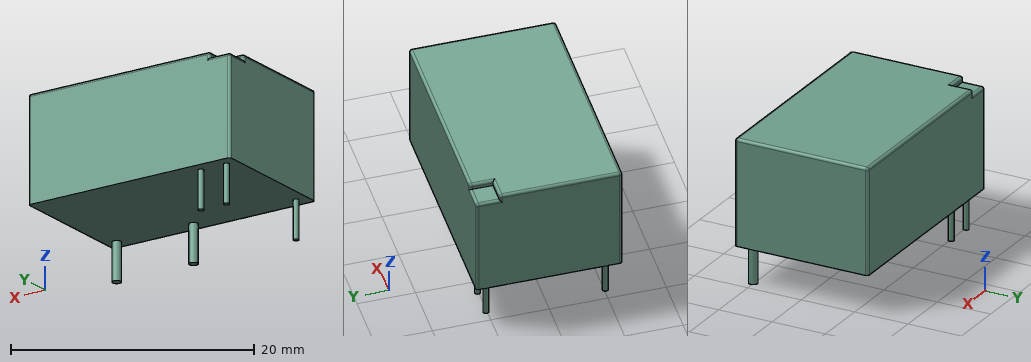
import cadquery as cq

length = 20.0
width = 12.5
total_height = 13.2
pin_length = 3.5
body_height = total_height - pin_length
edge_radius = 0.25

step_size = 2.0
step_depth = 0.5

grid_pitch = 2.55
row_offset = 5.1
first_pin_x = -8.88
thin_diameter = 0.5
thick_diameter = 0.8
pins = [
    (0, 1, thin_diameter),
    (1, 1, thin_diameter),
    (0, -1, thin_diameter),
    (4, -1, thick_diameter),
    (7, -1, thick_diameter),
]


def make_main_block():
    """L-shaped full-height block, rounded on its top and outer vertical edges."""
    left, right = -length / 2, length / 2
    front, back = -width / 2, width / 2
    step_x = left + step_size
    step_y = back - step_size
    block = (
        cq.Workplane("XY")
        .polyline([
            (left, front),
            (right, front),
            (right, back),
            (step_x, back),
            (step_x, step_y),
            (left, step_y),
        ])
        .close()
        .extrude(body_height)
    )
    inner_corner = cq.selectors.BoxSelector(
        (step_x - edge_radius, step_y - edge_radius, 0),
        (step_x + edge_radius, step_y + edge_radius, body_height),
    )
    rounded = cq.selectors.StringSyntaxSelector("|Z or >Z") - inner_corner
    return block.edges(rounded).fillet(edge_radius)


def make_step_block():
    """Lower corner block whose top is the floor of the step."""
    size = step_size + 2 * edge_radius
    return (
        cq.Workplane("XY")
        .box(size, size, body_height - step_depth, centered=False)
        .translate((-length / 2, width / 2 - size, 0))
        .edges("(|Z and <X and >Y) or (|Y and >Z and <X) or (|X and >Z and >Y)")
        .fillet(edge_radius)
    )


def make_pin(grid_steps, side, diameter):
    """Round pin hanging from the underside of the housing."""
    return (
        cq.Workplane("XY")
        .center(first_pin_x + grid_steps * grid_pitch, side * row_offset)
        .circle(diameter / 2)
        .extrude(-pin_length)
    )


result = make_main_block().union(make_step_block())
for grid_steps, side, diameter in pins:
    result = result.union(make_pin(grid_steps, side, diameter))